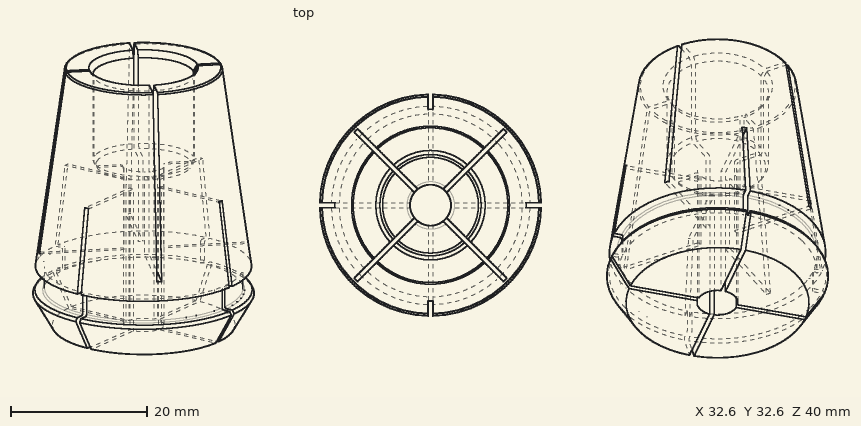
import cadquery as cq
import math

height = 40.0
nose_radius = 13.46
rim_radius = 16.3
nose_half_angle = 30.0
rim_bevel_rise = 0.54
rim_bevel_half_angle = 30.0

groove_radius = 14.6
groove_fillet = 0.28

cone_start_z = 9.13
cone_radius = 15.93
cone_half_angle = 8.0
cone_top_chamfer = 0.25

counterbore_radius = 7.45
counterbore_depth = 15.0
mouth_radius = 8.05
mouth_chamfer_half_angle = 30.0
floor_bevel_width = 0.4
floor_bevel_half_angle = 30.0
bore_diameter = 6.0
bore_fillet = 0.5

slot_width = 0.7
lower_slot_top_z = 22.06
upper_slot_floor_z = 12.0
slot_overrun = 5.0
slot_length = 2 * (rim_radius + slot_overrun)
upper_slot_turn = 45


def outer_body():
    """Solid of revolution: nose flange, groove and long cone."""
    rim_z = (rim_radius - nose_radius) / math.tan(math.radians(nose_half_angle))
    flange_top_z = rim_z + rim_bevel_rise
    flange_top_radius = rim_radius - rim_bevel_rise * math.tan(math.radians(rim_bevel_half_angle))
    cone_slope = math.tan(math.radians(cone_half_angle))
    chamfer_z = height - cone_top_chamfer
    chamfer_radius = cone_radius - (chamfer_z - cone_start_z) * cone_slope
    groove_corner_radius = groove_radius + groove_fillet
    profile = (
        cq.Workplane("XZ")
        .lineTo(nose_radius, 0)
        .lineTo(rim_radius, rim_z)
        .lineTo(flange_top_radius, flange_top_z)
        .lineTo(groove_corner_radius, flange_top_z)
        .radiusArc((groove_radius, flange_top_z + groove_fillet), groove_fillet)
        .lineTo(groove_radius, cone_start_z - groove_fillet)
        .radiusArc((groove_corner_radius, cone_start_z), groove_fillet)
        .lineTo(cone_radius, cone_start_z)
        .lineTo(chamfer_radius, chamfer_z)
        .lineTo(chamfer_radius - cone_top_chamfer, height)
        .lineTo(0, height)
        .close()
    )
    return profile.revolve(360, (0, 0, 0), (0, 1, 0))


def bore_cutter():
    """Solid of revolution that removes the bore and its counterbore."""
    bore_radius = bore_diameter / 2
    floor_z = height - counterbore_depth
    floor_bevel_height = floor_bevel_width / math.tan(math.radians(floor_bevel_half_angle))
    mouth_chamfer_width = mouth_radius - counterbore_radius
    mouth_chamfer_depth = mouth_chamfer_width / math.tan(math.radians(mouth_chamfer_half_angle))
    profile = (
        cq.Workplane("XZ")
        .lineTo(bore_radius, 0)
        .lineTo(bore_radius, floor_z - bore_fillet)
        .radiusArc((bore_radius + bore_fillet, floor_z), bore_fillet)
        .lineTo(counterbore_radius - floor_bevel_width, floor_z)
        .lineTo(counterbore_radius, floor_z + floor_bevel_height)
        .lineTo(counterbore_radius, height - mouth_chamfer_depth)
        .lineTo(mouth_radius, height)
        .lineTo(0, height)
        .close()
    )
    return profile.revolve(360, (0, 0, 0), (0, 1, 0))


def slot_cutter(angle, bottom_z, top_z):
    """Thin blade through the axis, turned about Z by the given angle."""
    blade = cq.Workplane("XY").box(slot_length, slot_width, top_z - bottom_z, centered=(True, True, False))
    return blade.translate((0, 0, bottom_z)).rotate((0, 0, 0), (0, 0, 1), angle)


result = outer_body().cut(bore_cutter())
for slot_angle in (0, 90):
    result = result.cut(slot_cutter(slot_angle, 0, lower_slot_top_z))
    result = result.cut(slot_cutter(slot_angle + upper_slot_turn, upper_slot_floor_z, height))